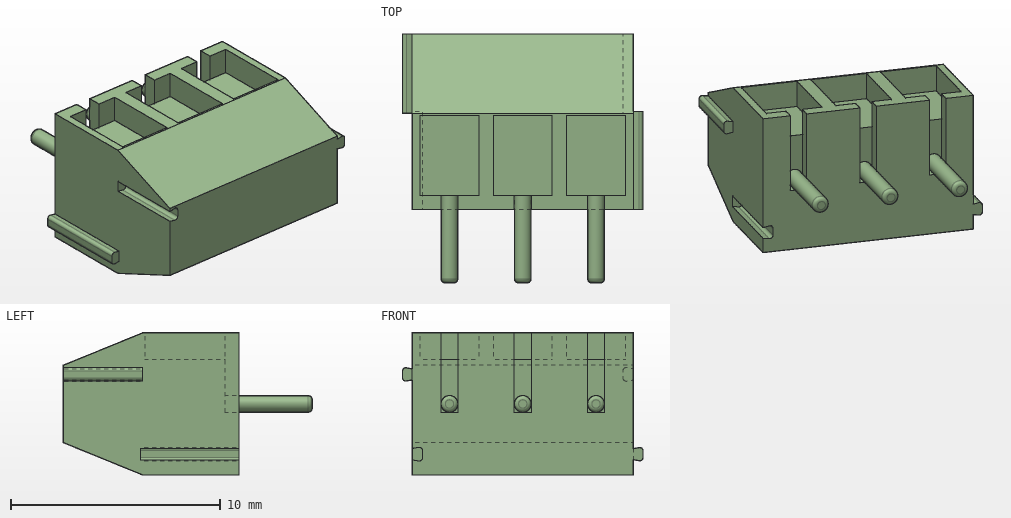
import cadquery as cq
import math


body_width = 10.57
body_depth = 8.4
body_height = 6.8
front_depth = 4.6
slope_drop = 1.55

pole_count = 3
pole_pitch = 3.5
pole_xs = [(i - (pole_count - 1) / 2) * pole_pitch for i in range(pole_count)]

pocket_width = 2.8
pocket_length = 3.82
pocket_depth = 1.28
front_wall = 0.68

pin_diameter = 0.8
pin_length = 3.5
pin_tip_radius = 0.2
pin_root_y = 2 * front_wall
pin_z = body_height / 2
slot_width = 0.82
slot_bottom_z = pin_z - pin_diameter / 2

overall_width = 11.5
rail_height = (overall_width - body_width) / 2
groove_depth = 0.5
neck_width = 0.54
flare_angle = 10
rail_corner_radius = 0.16
lower_z = 1.0
lower_length = 4.7
upper_z = 4.81
upper_length = 3.8


def housing():
    """Body with sloping faces at the upper and lower back."""
    outline = [
        (0, 0),
        (front_depth, 0),
        (body_depth, slope_drop),
        (body_depth, body_height - slope_drop),
        (front_depth, body_height),
        (0, body_height),
    ]
    return cq.Workplane("YZ").polyline(outline).close().extrude(body_width / 2, both=True)


def dovetail(base_x, base_z, reach, y_start, length):
    """Dovetail bar widening along +X from base_x, with rounded corners at its wide side."""
    half_neck = neck_width / 2
    half_wide = half_neck + reach * math.tan(math.radians(flare_angle))
    outline = [
        (base_x, base_z - half_neck),
        (base_x + reach, base_z - half_wide),
        (base_x + reach, base_z + half_wide),
        (base_x, base_z + half_neck),
    ]
    bar = (
        cq.Workplane("XZ", origin=(0, y_start, 0))
        .polyline(outline)
        .close()
        .extrude(-length)
    )
    return bar.edges("|Y").edges(">X").fillet(rail_corner_radius)


def add_rails_and_grooves(body):
    """Each level has a rail on one side and a groove to receive its neighbour's on the other."""
    half_width = body_width / 2
    upper_start = body_depth - upper_length
    lower_rail = dovetail(half_width, lower_z, rail_height, 0, lower_length)
    lower_groove = dovetail(-half_width, lower_z, groove_depth, 0, lower_length)
    upper_rail = dovetail(half_width, upper_z, rail_height, upper_start, upper_length).mirror("YZ")
    upper_groove = dovetail(-half_width, upper_z, groove_depth, upper_start, upper_length).mirror("YZ")
    return body.cut(lower_groove).cut(upper_groove).union(lower_rail).union(upper_rail)


def pole_opening(x):
    """Top pocket and the slot through the front wall down to the pin."""
    pocket = cq.Workplane("XY").box(
        pocket_width, pocket_length, pocket_depth, centered=(True, False, False)
    ).translate((x, front_wall, body_height - pocket_depth))
    slot = cq.Workplane("XY").box(
        slot_width, front_wall, body_height - slot_bottom_z, centered=(True, False, False)
    ).translate((x, 0, slot_bottom_z))
    return pocket.union(slot)


def pin(x):
    """Round pin with a rounded tip, rooted in the block behind the slot."""
    shaft = (
        cq.Workplane("XZ", origin=(x, pin_root_y, pin_z))
        .circle(pin_diameter / 2)
        .extrude(pin_root_y + pin_length)
    )
    return shaft.faces("<Y").edges().fillet(pin_tip_radius)


result = add_rails_and_grooves(housing())
for pole_x in pole_xs:
    result = result.cut(pole_opening(pole_x)).union(pin(pole_x))